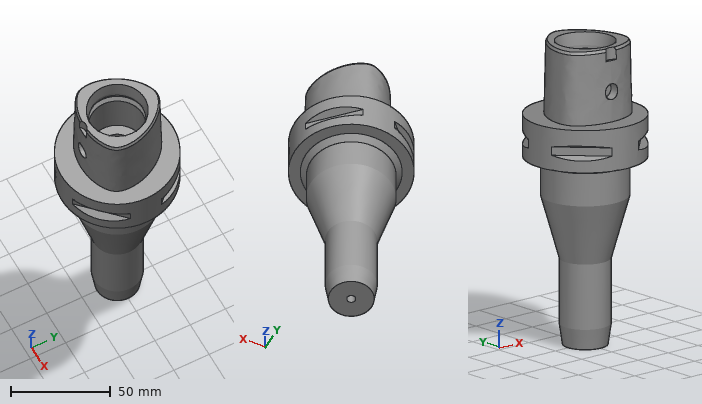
import cadquery as cq
import math


SHANK_HEIGHT = 38.0
SHANK_MEAN_RADIUS = 22.15
LOBE_HEIGHT = 1.65
SHANK_TAPER = 1 / 20
CHAMFER_HEIGHT = 1.5
CHAMFER_INSET = 0.8
LOBE_COUNT = 3
CURVE_POINTS = 72

FLANGE_RADIUS = 31.5
FLANGE_HEIGHT = 22.0
GROOVE_COUNT = 4
GROOVE_DEPTH_Z = 12.0
GROOVE_FLOOR_DISTANCE = 27.6
GROOVE_FLOOR_HEIGHT = 4.3
GROOVE_MOUTH_HEIGHT = 7.8

NECK_RADIUS = 22.5
NECK_CHAMFER = 3.0
NECK_END_Z = -42.2
STEM_START_Z = -75.2
STEM_RADIUS = 13.1
TIP_START_Z = -109.2
TIP_RADIUS = 11.5
BOTTOM_Z = -120.0

THROAT_RADIUS = 14.35
THROAT_FLOOR_DEPTH = 36.0
MOUTH_RADIUS = 15.5
MOUTH_DEPTH = 6.75
RELIEF_START_DEPTH = 8.25
RELIEF_DEPTH = 1.7
RELIEF_FLOOR_HEIGHT = 2.0
SCREW_RADIUS = 9.0
SCREW_FLOOR_DEPTH = 60.0
COOLANT_RADIUS = 4.2
COOLANT_FLOOR_DEPTH = 75.0
THROUGH_RADIUS = 2.25

NOTCH_RADIUS = 4.5
NOTCH_DEPTH_Z = 6.3
NOTCH_INNER_Y = -17.8
POCKET_RADIUS = 4.1
POCKET_Z = 15.6
POCKET_FLOOR_Y = -14.8


def polygon_wire(mean_radius, z):
    """Closed constant-width curve whose tangent lies mean_radius + LOBE_HEIGHT * cos(3a) from the axis."""

    def point(t):
        angle = 2 * math.pi * t
        reach = mean_radius + LOBE_HEIGHT * math.cos(LOBE_COUNT * angle)
        slope = -LOBE_COUNT * LOBE_HEIGHT * math.sin(LOBE_COUNT * angle)
        along_lobe = reach * math.cos(angle) - slope * math.sin(angle)
        across_lobe = reach * math.sin(angle) + slope * math.cos(angle)
        return cq.Vector(-across_lobe, along_lobe, z)

    points = [point(0.5 + index / CURVE_POINTS) for index in range(CURVE_POINTS)]
    curve = cq.Edge.makeSpline(points, periodic=True)
    return cq.Wire.assembleEdges([curve])


def make_shank():
    chamfer_z = SHANK_HEIGHT - CHAMFER_HEIGHT
    chamfer_radius = SHANK_MEAN_RADIUS - chamfer_z * SHANK_TAPER / 2
    base = polygon_wire(SHANK_MEAN_RADIUS, 0)
    shoulder = polygon_wire(chamfer_radius, chamfer_z)
    top = polygon_wire(chamfer_radius - CHAMFER_INSET, SHANK_HEIGHT)
    body = cq.Solid.makeLoft([base, shoulder], True)
    rim = cq.Solid.makeLoft([shoulder, top], True)
    return cq.Workplane(obj=body).union(cq.Workplane(obj=rim))


def make_flange_and_nose():
    profile = [
        (0, 0),
        (FLANGE_RADIUS, 0),
        (FLANGE_RADIUS, -FLANGE_HEIGHT),
        (NECK_RADIUS + NECK_CHAMFER, -FLANGE_HEIGHT),
        (NECK_RADIUS, -FLANGE_HEIGHT - NECK_CHAMFER),
        (NECK_RADIUS, NECK_END_Z),
        (STEM_RADIUS, STEM_START_Z),
        (STEM_RADIUS, TIP_START_Z),
        (TIP_RADIUS, BOTTOM_Z),
        (0, BOTTOM_Z),
    ]
    return cq.Workplane("XZ").polyline(profile).close().revolve(360, (0, 0), (0, 1))


def make_bore():
    relief_top = SHANK_HEIGHT - RELIEF_START_DEPTH
    relief_floor_top = relief_top - RELIEF_DEPTH
    relief_floor_bottom = relief_floor_top - RELIEF_FLOOR_HEIGHT
    relief_bottom = relief_floor_bottom - RELIEF_DEPTH
    relief_radius = THROAT_RADIUS + RELIEF_DEPTH
    throat_floor = SHANK_HEIGHT - THROAT_FLOOR_DEPTH
    screw_floor = SHANK_HEIGHT - SCREW_FLOOR_DEPTH
    coolant_floor = SHANK_HEIGHT - COOLANT_FLOOR_DEPTH
    profile = [
        (0, SHANK_HEIGHT),
        (MOUTH_RADIUS, SHANK_HEIGHT),
        (THROAT_RADIUS, SHANK_HEIGHT - MOUTH_DEPTH),
        (THROAT_RADIUS, relief_top),
        (relief_radius, relief_floor_top),
        (relief_radius, relief_floor_bottom),
        (THROAT_RADIUS, relief_bottom),
        (THROAT_RADIUS, throat_floor),
        (SCREW_RADIUS, throat_floor),
        (SCREW_RADIUS, screw_floor),
        (COOLANT_RADIUS, screw_floor),
        (COOLANT_RADIUS, coolant_floor),
        (THROUGH_RADIUS, coolant_floor),
        (THROUGH_RADIUS, BOTTOM_Z),
        (0, BOTTOM_Z),
    ]
    return cq.Workplane("XZ").polyline(profile).close().revolve(360, (0, 0), (0, 1))


def make_gripper_groove(angle):
    """Straight groove with sloped sides, cut into the rim in the direction of angle."""
    profile = [
        (GROOVE_FLOOR_DISTANCE, -GROOVE_DEPTH_Z - GROOVE_FLOOR_HEIGHT / 2),
        (FLANGE_RADIUS, -GROOVE_DEPTH_Z - GROOVE_MOUTH_HEIGHT / 2),
        (FLANGE_RADIUS, -GROOVE_DEPTH_Z + GROOVE_MOUTH_HEIGHT / 2),
        (GROOVE_FLOOR_DISTANCE, -GROOVE_DEPTH_Z + GROOVE_FLOOR_HEIGHT / 2),
    ]
    groove = cq.Workplane("XZ").polyline(profile).close().extrude(FLANGE_RADIUS, both=True)
    return groove.rotate((0, 0, 0), (0, 0, 1), angle)


def make_key_notch():
    return (
        cq.Workplane("XY", origin=(0, NOTCH_INNER_Y - NOTCH_RADIUS, SHANK_HEIGHT))
        .circle(NOTCH_RADIUS)
        .extrude(-NOTCH_DEPTH_Z)
    )


def make_round_pocket():
    return (
        cq.Workplane("XZ", origin=(0, POCKET_FLOOR_Y, POCKET_Z))
        .circle(POCKET_RADIUS)
        .extrude(SHANK_MEAN_RADIUS + POCKET_FLOOR_Y)
    )


result = make_flange_and_nose().union(make_shank())
result = result.cut(make_bore())
for index in range(GROOVE_COUNT):
    result = result.cut(make_gripper_groove((index + 0.5) * 360 / GROOVE_COUNT))
result = result.cut(make_key_notch())
result = result.cut(make_round_pocket())